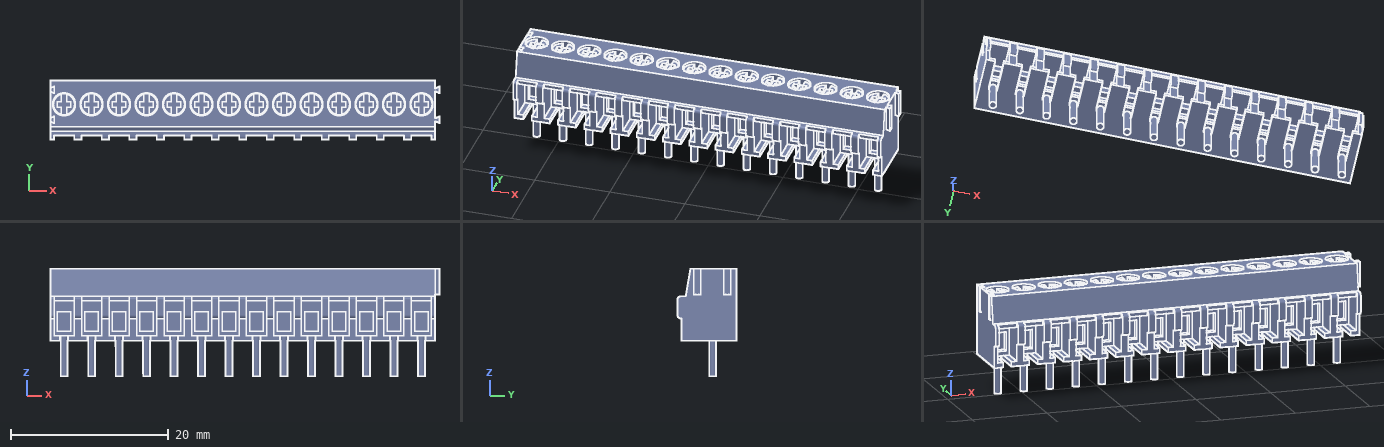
import cadquery as cq

pole_count = 14
pitch = 3.5
body_length = pole_count * pitch

back_y = 3.05
top_front_y = back_y - 5.9
slope_foot_y = back_y - 6.5
lower_front_y = back_y - 7.03
nose_front_y = back_y - 7.55
body_height = 9.2
ledge_z = body_height - 3.5
nose_bottom_z = body_height - 6.35
nose_fillet = 0.45

cell_width = 2.55
cell_floor_z = 0.65
cell_top_z = body_height - 4.05
cell_depth = 3.0
cell_back_y = lower_front_y + cell_depth
window_width = 1.7
window_height = 2.5
window_bottom_z = 1.25
window_depth = 0.8
pin_slot_width = 1.1

well_diameter = 2.9
screw_diameter = 2.7
well_depth = 1.0
screw_recess = 0.3
cross_slot_width = 0.7
cross_slot_short_length = 1.7
cross_slot_depth = 0.6

pin_diameter = 0.9
pin_length = 4.5

rail_reach = 0.57
groove_depth = 0.5
dovetail_neck = 0.4
dovetail_tip = 0.9
dovetail_height = 3.3
dovetail_positions_y = (back_y - 1.21, back_y - 5.02)


def box(width, y_min, y_max, z_min, z_max):
    """Box centred on x = 0, given by its limits in y and z."""
    return (
        cq.Workplane("XY", origin=(0, (y_min + y_max) / 2, z_min))
        .rect(width, y_max - y_min)
        .extrude(z_max - z_min)
    )


def make_body():
    """Profile with a sloped upper front and a rounded nose, extruded along the row."""
    profile = [
        (back_y, 0),
        (back_y, body_height),
        (top_front_y, body_height),
        (slope_foot_y, ledge_z),
        (nose_front_y, ledge_z),
        (nose_front_y, nose_bottom_z),
        (lower_front_y, nose_bottom_z),
        (lower_front_y, 0),
    ]
    body = cq.Workplane("YZ").polyline(profile).close().extrude(body_length)
    nose_face = body.faces("<Y")
    return nose_face.edges("|X").fillet(nose_fillet)


def make_cell():
    """Material removed for one wire entry."""
    nose_gap = box(cell_width, nose_front_y, lower_front_y, cell_floor_z, ledge_z)
    cell = box(cell_width, lower_front_y, cell_back_y, cell_floor_z, cell_top_z)
    window = box(
        window_width, cell_back_y, cell_back_y + window_depth,
        window_bottom_z, window_bottom_z + window_height,
    )
    pin_slot = box(pin_slot_width, lower_front_y, 0, 0, cell_floor_z)
    return nose_gap.union(cell).union(window).union(pin_slot)


def make_well():
    """Round well for one screw, open at the top."""
    well_floor = cq.Workplane("XY", origin=(0, 0, body_height - well_depth))
    return well_floor.circle(well_diameter / 2).extrude(well_depth)


def make_screw():
    """Screw head standing in its well, with a long and a short driver slot."""
    screw_top_z = body_height - screw_recess
    screw_bottom_z = body_height - well_depth
    slot_floor_z = screw_top_z - cross_slot_depth
    head = (
        cq.Workplane("XY", origin=(0, 0, screw_bottom_z))
        .circle(screw_diameter / 2)
        .extrude(screw_top_z - screw_bottom_z)
    )
    long_slot = box(
        cross_slot_width, -screw_diameter / 2, screw_diameter / 2, slot_floor_z, screw_top_z
    )
    short_slot = box(
        cross_slot_short_length, -cross_slot_width / 2, cross_slot_width / 2,
        slot_floor_z, screw_top_z,
    )
    return head.cut(long_slot).cut(short_slot)


def make_pin():
    """Solder pin, reaching up to the level of the cell floor."""
    pin_foot = cq.Workplane("XY", origin=(0, 0, -pin_length))
    return pin_foot.circle(pin_diameter / 2).extrude(pin_length + cell_floor_z)


def make_dovetail(x, y, reach):
    """Vertical dovetail that widens along +X, ending flush with the top."""
    outline = [
        (x, y - dovetail_neck / 2),
        (x + reach, y - dovetail_tip / 2),
        (x + reach, y + dovetail_tip / 2),
        (x, y + dovetail_neck / 2),
    ]
    foot = cq.Workplane("XY", origin=(0, 0, body_height - dovetail_height))
    return foot.polyline(outline).close().extrude(dovetail_height)


def repeat_along_row(shape):
    """Copies of a shape built at x = 0, one at the middle of each pole."""
    solid = shape.val()
    copies = [solid.translate(cq.Vector((pole + 0.5) * pitch, 0, 0)) for pole in range(pole_count)]
    return cq.Workplane(cq.Compound.makeCompound(copies))


result = make_body()
result = result.cut(repeat_along_row(make_cell()))
result = result.cut(repeat_along_row(make_well()))
result = result.union(repeat_along_row(make_screw()))
result = result.union(repeat_along_row(make_pin()))

for joint_y in dovetail_positions_y:
    result = result.cut(make_dovetail(0, joint_y, groove_depth))
    result = result.union(make_dovetail(body_length, joint_y, rail_reach))